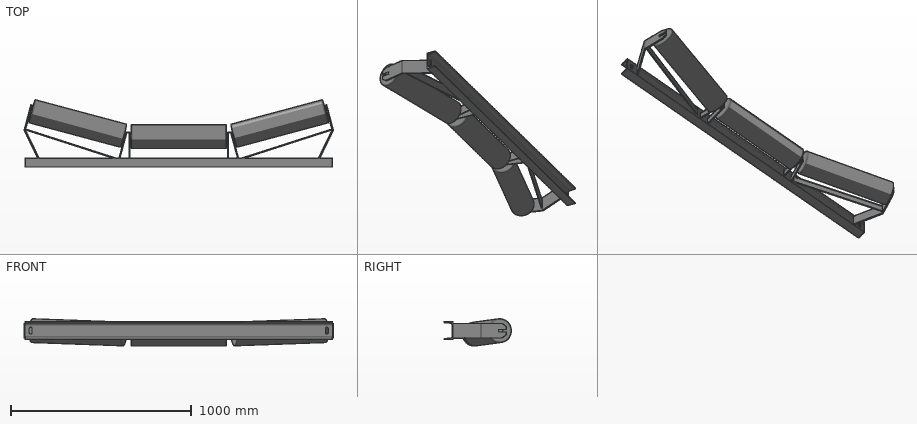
import cadquery as cq
import math


BEAM_LENGTH = 1700.0
BEAM_HEIGHT = 100.0
BEAM_DEPTH = 50.0
WEB_THICKNESS = 6.0
FLANGE_ROOT_THICKNESS = 10.2
FLANGE_TIP_THICKNESS = 6.7
FLANGE_ROOT_RADIUS = 8.5
FLANGE_TIP_RADIUS = 4.5
MOUNT_SLOT_SPACING = 1638.0
MOUNT_SLOT_WIDTH = 16.0
MOUNT_SLOT_LENGTH = 38.0

ROLLER_DIAMETER = 133.0
ROLLER_LENGTH = 526.0
ROLLER_EDGE_RADIUS = 4.0
SHAFT_DIAMETER = 25.0
SHAFT_FLAT_WIDTH = 14.0
END_GAP = 6.0
OUTER_END_GAP = 7.02
TROUGH_ANGLE = 15.0
FORWARD_TILT = 2.0
CENTRE_ROLLER_Y = 118.0
CENTRE_ROLLER_Z = -19.4
WING_OUTER_X = -812.0
WING_OUTER_Y = 259.06
WING_OUTER_Z = 0.0

PLATE_THICKNESS = 8.0
END_BRACKET_WIDTH = 80.0
END_BRACKET_BEND_Y = 154.0
END_BEND_RADIUS = 10.0
END_BRACKET_FOOT_X = -781.0
TIP_ABOVE_AXIS = 33.0
TIP_CORNER_ALONG = 25.0
TIP_CORNER_ACROSS = 16.0

MID_PLATE_THICKNESS = 6.0
MID_BRACKET_WIDTH = 50.0
MID_BRACKET_TOP_Y = 144.0
MID_BRACKET_Z = CENTRE_ROLLER_Z
MID_BEND_RADIUS = 8.0

SLOT_OPEN_LENGTH = 80.0
SLOT_OVERHANG = 30.0

STRUT_THICKNESS = 6.0
STRUT_WIDTH = 50.0
STRUT_FOOT_X = -366.0

TROUGH_SIN = math.sin(math.radians(TROUGH_ANGLE))
TROUGH_COS = math.cos(math.radians(TROUGH_ANGLE))
TROUGH_TAN = math.tan(math.radians(TROUGH_ANGLE))
TILT_SIN = math.sin(math.radians(FORWARD_TILT))
TILT_COS = math.cos(math.radians(FORWARD_TILT))

WING_FRAME = cq.Plane(
    origin=(WING_OUTER_X, WING_OUTER_Y, WING_OUTER_Z),
    xDir=(TROUGH_SIN, TROUGH_COS, 0),
    normal=(TROUGH_COS * TILT_COS, -TROUGH_SIN * TILT_COS, -TILT_SIN),
)
CENTRE_FRAME = cq.Plane(
    origin=(-ROLLER_LENGTH / 2, CENTRE_ROLLER_Y, CENTRE_ROLLER_Z),
    xDir=(0, 1, 0),
    normal=(1, 0, 0),
)


def nearest(x, y, z):
    return cq.selectors.NearestToPointSelector((x, y, z))


def plate(outline, width, middle_z=0.0):
    """Plate whose edge outline lies in XY, with its width along Z."""
    return (
        cq.Workplane("XY", origin=(0, 0, middle_z))
        .polyline(outline).close().extrude(width / 2, both=True)
    )


def round_bend(body, corner, radius):
    middle_z = body.val().Center().z
    return body.edges("|Z").edges(nearest(*corner, middle_z)).fillet(radius)


def make_beam():
    half = BEAM_HEIGHT / 2
    root_z = half - FLANGE_ROOT_THICKNESS
    tip_z = half - FLANGE_TIP_THICKNESS
    beam = (
        cq.Workplane("YZ")
        .polyline([
            (0, -half),
            (0, half),
            (-BEAM_DEPTH, half),
            (-BEAM_DEPTH, tip_z),
            (-WEB_THICKNESS, root_z),
            (-WEB_THICKNESS, -root_z),
            (-BEAM_DEPTH, -tip_z),
            (-BEAM_DEPTH, -half),
        ]).close().extrude(BEAM_LENGTH / 2, both=True)
    )
    for side in (1, -1):
        beam = beam.edges("|X").edges(nearest(0, -WEB_THICKNESS, side * root_z)).fillet(FLANGE_ROOT_RADIUS)
        beam = beam.edges("|X").edges(nearest(0, -BEAM_DEPTH, side * tip_z)).fillet(FLANGE_TIP_RADIUS)
    mount_slots = (
        cq.Workplane("XZ")
        .rarray(MOUNT_SLOT_SPACING, 1, 2, 1)
        .slot2D(MOUNT_SLOT_LENGTH, MOUNT_SLOT_WIDTH, 90)
        .extrude(WEB_THICKNESS)
    )
    return beam.cut(mount_slots)


def flatted_bar(frame, start_overhang, end_overhang, open_length):
    """Round bar with two flats past both roller ends, stretched by open_length toward local X."""
    base = cq.Workplane(frame).workplane(offset=-start_overhang)
    length = start_overhang + ROLLER_LENGTH + end_overhang
    bar = base.circle(SHAFT_DIAMETER / 2).extrude(length)
    if open_length > 0:
        bar = bar.union(base.center(open_length / 2, 0).rect(open_length, SHAFT_DIAMETER).extrude(length))
    flats = base.rect(SHAFT_DIAMETER + 2 * open_length, SHAFT_FLAT_WIDTH).extrude(length)
    return bar.intersect(flats)


def make_roller(frame, start_overhang, end_overhang):
    shell = (
        cq.Workplane(frame).circle(ROLLER_DIAMETER / 2).extrude(ROLLER_LENGTH)
        .edges("%CIRCLE").fillet(ROLLER_EDGE_RADIUS)
    )
    return shell.union(flatted_bar(frame, start_overhang, end_overhang, 0))


def slot_cutter(frame):
    """Shaft-shaped cutter that leaves slots open toward the top of the bracket plates."""
    return flatted_bar(frame, SLOT_OVERHANG, SLOT_OVERHANG, SLOT_OPEN_LENGTH)


def wing_point(along, above):
    """XY position given along the wing roller's axis from its outer face, and square to the axis."""
    return (
        WING_OUTER_X + along * TROUGH_COS + above * TROUGH_SIN,
        WING_OUTER_Y - along * TROUGH_SIN + above * TROUGH_COS,
    )


def leaning_x(along, y):
    """X at height y on the plane square to the wing roller, at a distance along it from its outer face."""
    start_x, start_y = wing_point(along, 0)
    return start_x + (y - start_y) * TROUGH_TAN


END_PLATE_INNER = -OUTER_END_GAP
END_PLATE_OUTER = END_PLATE_INNER - PLATE_THICKNESS
END_BRACKET_BEND = (leaning_x(END_PLATE_OUTER, END_BRACKET_BEND_Y), END_BRACKET_BEND_Y)


def end_bracket_foot_angle():
    """Lean of the lower leg from the Y direction."""
    return math.atan2(END_BRACKET_FOOT_X - END_BRACKET_BEND[0], END_BRACKET_BEND[1])


def end_bracket_inner_bend():
    """Sharp corner on the inner side of the bend, where both inner faces would meet."""
    foot_angle = end_bracket_foot_angle()
    upper_normal = (TROUGH_COS, -TROUGH_SIN)
    lower_normal = (math.cos(foot_angle), math.sin(foot_angle))
    reach = PLATE_THICKNESS / (1 + math.cos(math.radians(TROUGH_ANGLE) + foot_angle))
    return tuple(
        corner + reach * (upper + lower)
        for corner, upper, lower in zip(END_BRACKET_BEND, upper_normal, lower_normal)
    )


def make_end_bracket():
    foot_width = PLATE_THICKNESS / math.cos(end_bracket_foot_angle())
    inner_bend = end_bracket_inner_bend()
    tip_outer = wing_point(END_PLATE_OUTER, TIP_ABOVE_AXIS)
    tip_inner = wing_point(END_PLATE_INNER, TIP_ABOVE_AXIS)
    bracket = plate([
        tip_outer,
        END_BRACKET_BEND,
        (END_BRACKET_FOOT_X, 0),
        (END_BRACKET_FOOT_X + foot_width, 0),
        inner_bend,
        tip_inner,
    ], END_BRACKET_WIDTH)
    bracket = round_bend(bracket, END_BRACKET_BEND, END_BEND_RADIUS)
    bracket = round_bend(bracket, inner_bend, END_BEND_RADIUS - PLATE_THICKNESS)

    half = END_BRACKET_WIDTH / 2
    tip_face = cq.Workplane(cq.Plane(
        origin=(*tip_outer, 0), xDir=(0, 0, 1), normal=(TROUGH_COS, -TROUGH_SIN, 0),
    ))
    for side in (1, -1):
        corner = (
            tip_face.polyline([
                (side * half, 0),
                (side * (half - TIP_CORNER_ACROSS), 0),
                (side * half, TIP_CORNER_ALONG),
            ]).close().extrude(PLATE_THICKNESS)
        )
        bracket = bracket.cut(corner)
    return bracket.cut(slot_cutter(WING_FRAME))


def make_mid_bracket():
    """Narrow bent bridge: one upright leg for the centre roller, one leaning leg for the wing roller."""
    top = MID_BRACKET_TOP_Y
    under = top - MID_PLATE_THICKNESS
    wing_face = ROLLER_LENGTH + END_GAP
    wing_back = wing_face + MID_PLATE_THICKNESS
    centre_face = -ROLLER_LENGTH / 2 - END_GAP
    centre_back = centre_face - MID_PLATE_THICKNESS
    outer_bends = [(leaning_x(wing_face, top), top), (centre_face, top)]
    inner_bends = [(centre_back, under), (leaning_x(wing_back, under), under)]
    bracket = plate([
        (leaning_x(wing_face, 0), 0),
        *outer_bends,
        (centre_face, 0),
        (centre_back, 0),
        *inner_bends,
        (leaning_x(wing_back, 0), 0),
    ], MID_BRACKET_WIDTH, MID_BRACKET_Z)
    for corner in outer_bends:
        bracket = round_bend(bracket, corner, MID_BEND_RADIUS)
    for corner in inner_bends:
        bracket = round_bend(bracket, corner, MID_BEND_RADIUS - MID_PLATE_THICKNESS)
    return bracket.cut(slot_cutter(WING_FRAME)).cut(slot_cutter(CENTRE_FRAME))


def make_strut(end_bracket):
    """Flat bar from the end bracket's upper leg, just above the bend, down to the beam web."""
    lower = end_bracket_inner_bend()
    slope_angle = math.atan2(lower[1], STRUT_FOOT_X - lower[0])
    foot_width = STRUT_THICKNESS / math.sin(slope_angle)
    end_length = STRUT_THICKNESS / math.cos(math.radians(TROUGH_ANGLE) - slope_angle)
    upper = (lower[0] + end_length * TROUGH_SIN, lower[1] + end_length * TROUGH_COS)
    bar = plate([
        lower,
        (STRUT_FOOT_X, 0),
        (STRUT_FOOT_X + foot_width, 0),
        upper,
    ], STRUT_WIDTH)
    return bar.cut(end_bracket)


beam = make_beam()
centre_roller = make_roller(CENTRE_FRAME, END_GAP + MID_PLATE_THICKNESS, END_GAP + MID_PLATE_THICKNESS)
wing_roller = make_roller(WING_FRAME, OUTER_END_GAP + PLATE_THICKNESS, END_GAP + MID_PLATE_THICKNESS)
end_bracket = make_end_bracket()
mid_bracket = make_mid_bracket()
strut = make_strut(end_bracket)

bodies = [beam.val(), centre_roller.val()]
for left_body in (wing_roller, end_bracket, mid_bracket, strut):
    right_body = left_body.mirror("YZ")
    bodies += [left_body.val(), right_body.val()]

result = cq.Compound.makeCompound(bodies)